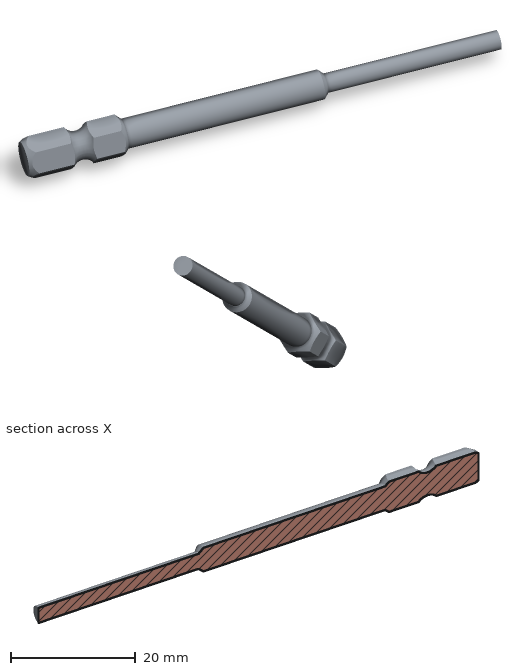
import cadquery as cq
import math

total_length = 80.0

hex_across_flats = 6.3
hex_across_corners = hex_across_flats / math.cos(math.radians(30))
hex_corner_radius = hex_across_corners / 2
end_face_diameter = 5.7
end_chamfer_angle = 30.0
shoulder_angle = 45.0

groove_center = 9.3
groove_radius = 2.1
groove_neck_diameter = 4.8

shank_diameter = 5.0
shank_start = 17.0
shank_end = 50.8
shank_chamfer = 0.8
tip_diameter = 3.2


def round_bar(diameter, start, end):
    """Cylinder on the Y axis, with start and end measured from the drive end face."""
    bar = cq.Workplane("XZ").circle(diameter / 2).extrude(start - end)
    return bar.translate((0, start, 0))


def drive_envelope():
    """Turned solid that gives the hexagon its coned ends."""
    end_radius = end_face_diameter / 2
    shank_radius = shank_diameter / 2
    end_cone = (hex_corner_radius - end_radius) / math.tan(math.radians(end_chamfer_angle))
    shoulder = (hex_corner_radius - shank_radius) / math.tan(math.radians(shoulder_angle))
    return (
        cq.Workplane("XY")
        .lineTo(end_radius, 0)
        .lineTo(hex_corner_radius, end_cone)
        .lineTo(hex_corner_radius, shank_start - shoulder)
        .lineTo(shank_radius, shank_start)
        .lineTo(0, shank_start)
        .close()
        .revolve(360, (0, 0, 0), (0, 1, 0))
    )


def retaining_groove():
    """Ring of round section, cut around the hexagon."""
    ring_radius = groove_neck_diameter / 2 + groove_radius
    return (
        cq.Workplane("XY")
        .center(ring_radius, groove_center)
        .circle(groove_radius)
        .revolve(360, (-ring_radius, 0, 0), (-ring_radius, 1, 0))
    )


def hex_drive():
    """Hexagon with corners on the X axis, coned at both ends and grooved."""
    hexagon = cq.Workplane("XZ").polygon(6, hex_across_corners).extrude(-shank_start)
    return hexagon.intersect(drive_envelope()).cut(retaining_groove())


shank = round_bar(shank_diameter, shank_start, shank_end).faces(">Y").chamfer(shank_chamfer)
tip = round_bar(tip_diameter, shank_end, total_length)

result = hex_drive().union(shank).union(tip).translate((0, -total_length / 2, 0))